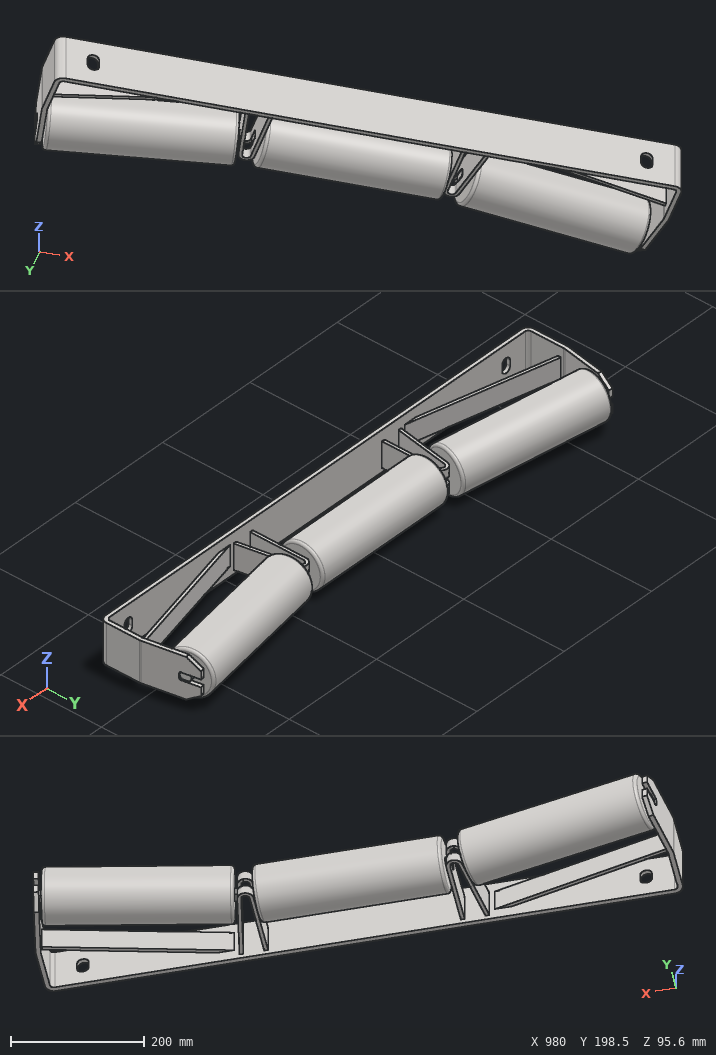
import cadquery as cq
import math

trough_angle = 10.0

frame_length = 980.0
frame_width = 80.0
frame_thickness = 8.0
corner_radius = 14.0
arm_bend_y = 81.0
arm_bend_radius = 14.0
arm_tip_y = 186.5
arm_tip_cut_length = 26.0
arm_tip_cut_width = 17.0

mount_slot_x = 432.5
mount_slot_width = 18.0
mount_slot_length = 28.0

roller_radius = 44.5
roller_length = 290.0
roller_edge_radius = 5.0
roller_drop = 6.72
center_roller_y = 100.0
side_roller_x = 321.5
side_roller_y = 130.34
axle_radius = 10.0
axle_flat_width = 14.0
axle_slot_clearance = 0.3

bracket_thickness = 6.0
bracket_leg_x = 148.0
bracket_bend_radius = 9.5
bracket_top_y = 127.0
bracket_width = 50.0

strut_thickness = 6.0
strut_width = 40.0
strut_top_y = 74.0
strut_foot_x = 200.0

lean = math.radians(trough_angle)
sin_lean = math.sin(lean)
cos_lean = math.cos(lean)
half_length = frame_length / 2
arm_inner_x = half_length - frame_thickness
skew = math.asin(roller_drop / roller_length)
axle_length = 2 * (bracket_leg_x + bracket_thickness)


def mirrored(body):
    """Copy of a +X body on the -X side."""
    return body.mirror("YZ")


center_plane = cq.Plane(
    origin=(0, center_roller_y, -roller_drop),
    xDir=(0, 1, 0),
    normal=(1, 0, 0),
)

side_plane = cq.Plane(
    origin=(side_roller_x, side_roller_y, -roller_drop / 2),
    xDir=(-sin_lean, cos_lean, 0),
    normal=(cos_lean * math.cos(skew), sin_lean * math.cos(skew), math.sin(skew)),
)

arm_plane = cq.Plane(
    origin=(half_length, arm_bend_y, 0),
    xDir=(-sin_lean, cos_lean, 0),
    normal=(cos_lean, sin_lean, 0),
)


def axle_bar(plane, length, clearance=0):
    """Round bar with two flats, centered on the plane and along its normal."""
    width = axle_flat_width + 2 * clearance
    radius = axle_radius + clearance
    start = cq.Workplane(plane).workplane(offset=-length / 2)
    bar = start.circle(radius).extrude(length)
    flats = start.rect(2 * radius, width).extrude(length)
    return bar.intersect(flats)


def make_roller(plane):
    start = cq.Workplane(plane).workplane(offset=-roller_length / 2)
    drum = start.circle(roller_radius).extrude(roller_length)
    drum = drum.edges("%CIRCLE").fillet(roller_edge_radius)
    return drum.union(axle_bar(plane, axle_length))


def axle_slot(plane):
    """Open-ended slot along a roller's axle, from the axle outwards past the metal's edge."""
    width = axle_flat_width + 2 * axle_slot_clearance
    reach = roller_radius
    slot_span = axle_length + 2 * frame_thickness
    channel = (
        cq.Workplane(plane)
        .center(reach / 2, 0)
        .rect(reach, width)
        .extrude(slot_span / 2, both=True)
    )
    return channel.union(axle_bar(plane, slot_span, axle_slot_clearance))


def arm_tip_cuts():
    tip = (arm_tip_y - arm_bend_y) / cos_lean
    half_width = frame_width / 2
    cuts = cq.Workplane(arm_plane)
    for side in (1, -1):
        cuts = cuts.moveTo(tip - arm_tip_cut_length, side * half_width)
        cuts = cuts.lineTo(tip, side * (half_width - arm_tip_cut_width))
        cuts = cuts.lineTo(tip, side * half_width).close()
    return cuts.extrude(-2 * frame_thickness)


def make_half_frame():
    tip_x = half_length - (arm_tip_y - arm_bend_y) * math.tan(lean)
    tip_inner_x = tip_x - frame_thickness * cos_lean
    tip_inner_y = arm_tip_y - frame_thickness * sin_lean
    inner_bend_y = arm_bend_y - frame_thickness * math.tan(lean / 2)
    half = (
        cq.Workplane("XY")
        .workplane(offset=-frame_width / 2)
        .polyline([
            (0, 0),
            (half_length, 0),
            (half_length, arm_bend_y),
            (tip_x, arm_tip_y),
            (tip_inner_x, tip_inner_y),
            (arm_inner_x, inner_bend_y),
            (arm_inner_x, frame_thickness),
            (0, frame_thickness),
        ])
        .close()
        .extrude(frame_width)
    )

    def bend_edge(x, y):
        return half.edges(cq.selectors.NearestToPointSelector((x, y, 0)))

    half = bend_edge(half_length, 0).fillet(corner_radius)
    half = bend_edge(arm_inner_x, frame_thickness).fillet(corner_radius - frame_thickness)
    half = bend_edge(half_length, arm_bend_y).fillet(arm_bend_radius)
    half = bend_edge(arm_inner_x, inner_bend_y).fillet(arm_bend_radius + frame_thickness)
    return half.cut(arm_tip_cuts()).cut(axle_slot(side_plane))


def make_frame():
    half = make_half_frame()
    mount_slots = (
        cq.Workplane("XZ")
        .pushPoints([(-mount_slot_x, 0), (mount_slot_x, 0)])
        .slot2D(mount_slot_length, mount_slot_width, 90)
        .extrude(-frame_thickness)
    )
    return half.union(mirrored(half)).cut(mount_slots)


def make_bracket():
    outer = bracket_bend_radius + bracket_thickness / 2
    inner = bracket_bend_radius - bracket_thickness / 2
    bend_x = bracket_leg_x + outer
    bend_y = bracket_top_y - outer
    middle = (math.pi + lean) / 2

    def on_bend(radius, angle):
        return (bend_x + radius * math.cos(angle), bend_y + radius * math.sin(angle))

    def leaning_foot(radius):
        x, y = on_bend(radius, lean)
        return (x + (y - frame_thickness) * math.tan(lean), frame_thickness)

    body = (
        cq.Workplane("XY")
        .workplane(offset=-roller_drop - bracket_width / 2)
        .moveTo(bend_x - outer, frame_thickness)
        .lineTo(bend_x - outer, bend_y)
        .threePointArc(on_bend(outer, middle), on_bend(outer, lean))
        .lineTo(*leaning_foot(outer))
        .lineTo(*leaning_foot(inner))
        .lineTo(*on_bend(inner, lean))
        .threePointArc(on_bend(inner, middle), on_bend(inner, math.pi))
        .lineTo(bend_x - inner, frame_thickness)
        .close()
        .extrude(bracket_width)
    )
    return body.cut(axle_slot(center_plane)).cut(axle_slot(side_plane))


def make_strut():
    run = arm_inner_x - strut_foot_x
    rise = strut_top_y - frame_thickness
    slope = math.atan2(rise, run)
    foot_length = strut_thickness / math.sin(slope)
    end_height = strut_thickness / math.cos(slope)
    return (
        cq.Workplane("XY")
        .workplane(offset=-strut_width / 2)
        .polyline([
            (strut_foot_x, frame_thickness),
            (arm_inner_x, strut_top_y),
            (arm_inner_x, strut_top_y - end_height),
            (strut_foot_x + foot_length, frame_thickness),
        ])
        .close()
        .extrude(strut_width)
    )


frame = make_frame()
center_roller = make_roller(center_plane)
side_roller = make_roller(side_plane)
bracket = make_bracket()
strut = make_strut()

bodies = [frame.solids().val(), center_roller.solids().val()]
for body in (side_roller, bracket, strut):
    bodies.append(body.solids().val())
    bodies.append(mirrored(body).solids().val())

result = cq.Compound.makeCompound(bodies)